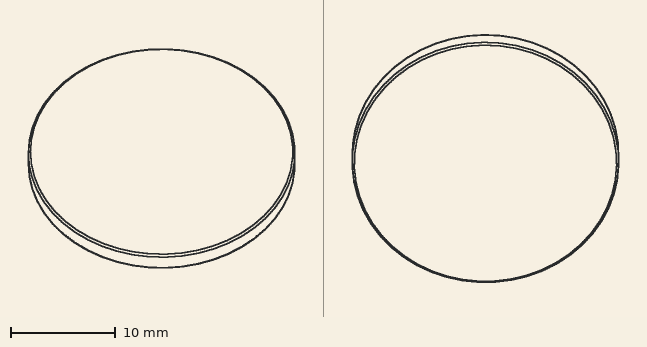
import cadquery as cq

diameter = 25.4
center_thickness = 3.43
dome_edge_height = 2.05
bevel = 0.2

rim_radius = diameter / 2
face_radius = rim_radius - bevel

sagitta = center_thickness - dome_edge_height
dome_radius = (face_radius**2 + sagitta**2) / (2 * sagitta)
dome_center_height = center_thickness - dome_radius

mid_radius = face_radius / 2
mid_height = dome_center_height + (dome_radius**2 - mid_radius**2) ** 0.5

half_section = (
    cq.Workplane("XZ")
    .lineTo(face_radius, 0)
    .lineTo(rim_radius, bevel)
    .lineTo(rim_radius, dome_edge_height - bevel)
    .lineTo(face_radius, dome_edge_height)
    .threePointArc((mid_radius, mid_height), (0, center_thickness))
    .close()
)

result = half_section.revolve(360, (0, 0, 0), (0, 1, 0))